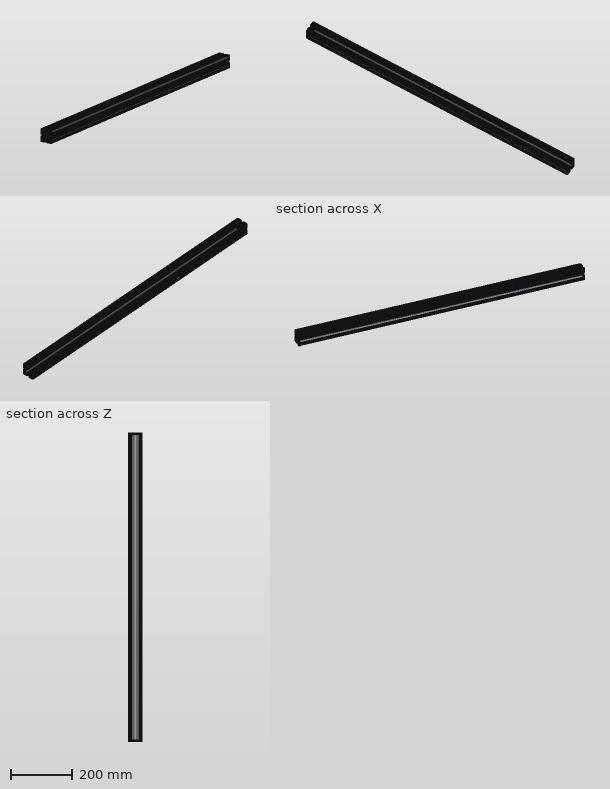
import cadquery as cq
import math

width = 40.0
length = 1000.0
outer_corner_radius = 3.0

slot_opening = 10.0
lip_thickness = 6.0
lip_chamfer = 0.8
web_thickness = 1.3
core_height = 12.8
slot_floor_fillet = 3.6

core_bore_diameter = 10.0
hollow_wall = 1.5
hollow_breadth = 3.0
hollow_corner_radius = 4.0
hollow_end_from_middle = 9.5

half_width = width / 2
half_opening = slot_opening / 2
lip_underside = half_width - lip_thickness
slot_floor = core_height / 2
web_offset = web_thickness / math.sqrt(2)


def end_face():
    """Workplane on the -Y end with X to the right and Z up; extruding by -length fills the bar."""
    return cq.Workplane("XZ", origin=(0, -length / 2, 0))


def cut_on_all_sides(bar, cutter):
    """Cut with four copies of the cutter, a quarter turn apart about the bar's long axis."""
    for quarter in range(4):
        bar = bar.cut(cutter.rotate((0, 0, 0), (0, 1, 0), 90 * quarter))
    return bar


def make_blank():
    bar = end_face().rect(width, width).extrude(-length)
    return bar.edges("|Y").fillet(outer_corner_radius)


def make_top_slot():
    """Cutter for the top slot: a chamfered mouth over a cavity that tapers at 45 degrees to a flat floor."""
    right_side = [
        (half_opening + lip_chamfer, half_width),
        (half_opening, half_width - lip_chamfer),
        (half_opening, lip_underside),
        (lip_underside - web_offset, lip_underside),
        (slot_floor - web_offset, slot_floor),
    ]
    left_side = [(-x, z) for x, z in reversed(right_side)]
    slot = end_face().polyline(right_side + left_side).close().extrude(-length)
    return slot.faces("<Z").edges("|Y").fillet(slot_floor_fillet)


def make_corner_hollow():
    """Cutter for the top-right hollow: a round-ended channel bent around the corner of the bar."""
    diagonal = math.sqrt(0.5)
    end_radius = hollow_breadth / 2
    outside = half_width - hollow_wall
    inside = outside - hollow_breadth
    middle = outside - end_radius
    bend_centre = outside - hollow_corner_radius
    bend_outside = bend_centre + hollow_corner_radius * diagonal
    bend_inside = bend_centre + (hollow_corner_radius - hollow_breadth) * diagonal
    end = hollow_end_from_middle
    return (
        end_face()
        .moveTo(end, outside)
        .lineTo(bend_centre, outside)
        .threePointArc((bend_outside, bend_outside), (outside, bend_centre))
        .lineTo(outside, end)
        .threePointArc((middle, end - end_radius), (inside, end))
        .lineTo(inside, bend_centre)
        .threePointArc((bend_inside, bend_inside), (bend_centre, inside))
        .lineTo(end, inside)
        .threePointArc((end - end_radius, middle), (end, outside))
        .close()
        .extrude(-length)
    )


def make_core_bore():
    return end_face().circle(core_bore_diameter / 2).extrude(-length)


profile = cut_on_all_sides(make_blank(), make_top_slot())
profile = cut_on_all_sides(profile, make_corner_hollow())
result = profile.cut(make_core_bore())